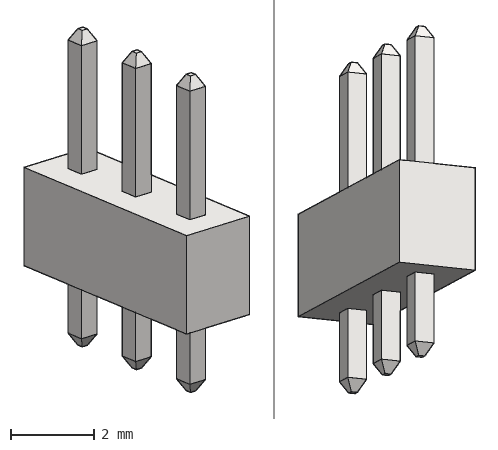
import cadquery as cq

total_height = 8.15
pitch = 2.0
pin_count = 3
housing_length = 6.0
housing_height = 2.535
lower_pin_length = 2.005
pin_width = 0.5
tip_width = 0.16
tip_length = 0.3

upper_pin_length = total_height - housing_height - lower_pin_length
first_pin_x = -pitch * (pin_count - 1) / 2


def make_housing():
    """Plain rectangular block that carries the pins."""
    return cq.Workplane("XY").box(housing_length, pitch, housing_height, centered=(True, True, False))


def make_pin(x, base_z, length, direction):
    """Square pin from a housing face to a tapered tip; direction is +1 for up, -1 for down."""
    base = cq.Plane(origin=(x, 0, base_z), xDir=(1, 0, 0), normal=(0, 0, direction))
    shank_length = length - tip_length
    shank = cq.Workplane(base).rect(pin_width, pin_width).extrude(shank_length)
    tip = (
        cq.Workplane(base)
        .workplane(offset=shank_length)
        .rect(pin_width, pin_width)
        .workplane(offset=tip_length)
        .rect(tip_width, tip_width)
        .loft(ruled=True)
    )
    return shank.union(tip)


housing = make_housing()

upper_pins = []
lower_pins = []
for index in range(pin_count):
    pin_x = first_pin_x + index * pitch
    upper_pins.append(make_pin(pin_x, housing_height, upper_pin_length, 1).val())
    lower_pins.append(make_pin(pin_x, 0, lower_pin_length, -1).val())

result = cq.Compound.makeCompound([housing.val(), *upper_pins, *lower_pins])